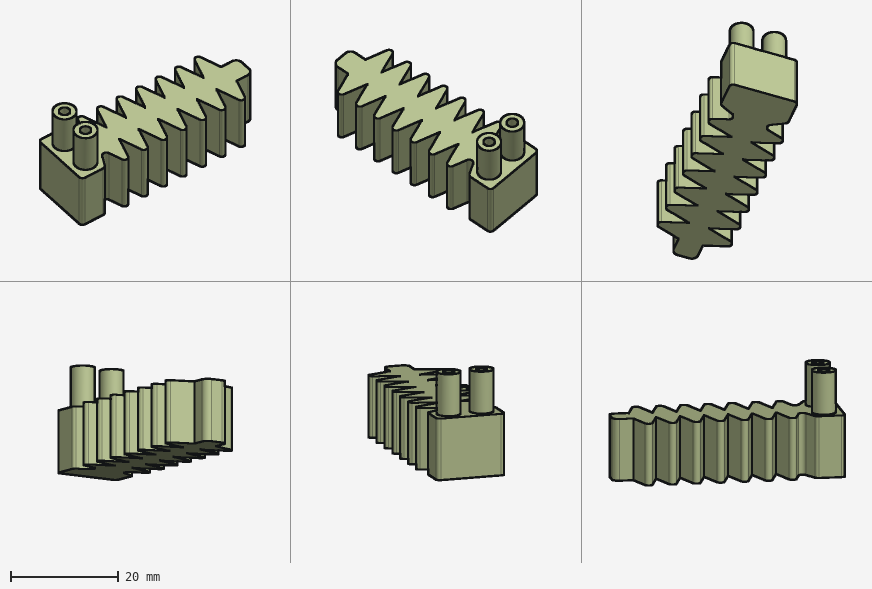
import math

import cadquery as cq

length = 43.2
total_height = 19.8

fin_count = 7
fin_pitch = 4.55
first_fin_y = 10.03
fin_half_span = 7.35
fin_tip_radius = 0.75
notch_half_width = 2.0

tail_half_width = 2.4
tail_corner_radius = 1.25

base_half_width = 6.7
base_side_length = 5.5
base_corner_radius = 0.78
neck_half_width = 3.4
neck_radius = 0.78

tube_diameter = 4.5
bore_diameter = 2.1
tube_spacing = 6.5
tube_y = 3.5
tube_height = 8.0

body_height = total_height - tube_height

notch_offset = fin_pitch / 2
tip_center_x = fin_half_span - fin_tip_radius
tip_distance = math.hypot(tip_center_x - notch_half_width, notch_offset)
flank_angle = math.atan2(notch_offset, tip_center_x - notch_half_width) - math.asin(
    fin_tip_radius / tip_distance
)
tip_tangent_x = tip_center_x + fin_tip_radius * math.sin(flank_angle)
tip_tangent_offset = fin_tip_radius * math.cos(flank_angle)


def flank_offset(x):
    """Half thickness of a fin, measured on its flanks at distance x from the center plane."""
    return notch_offset - (x - notch_half_width) * math.tan(flank_angle)


neck_center_x = neck_half_width + neck_radius
neck_center_y = first_fin_y - flank_offset(neck_center_x) - neck_radius / math.cos(flank_angle)
shoulder_run = base_half_width - neck_center_x
shoulder_rise = neck_center_y - base_side_length
shoulder_angle = math.atan2(shoulder_rise, shoulder_run) - math.asin(
    neck_radius / math.hypot(shoulder_run, shoulder_rise)
)


def half_profile():
    """Outline of the half of the body at positive X, closed along the center plane."""
    fin_centers = [first_fin_y + i * fin_pitch for i in range(fin_count)]
    outline = (
        cq.Workplane("XY")
        .lineTo(base_half_width, 0)
        .lineTo(base_half_width, base_side_length)
        .lineTo(
            neck_center_x - neck_radius * math.sin(shoulder_angle),
            neck_center_y - neck_radius * math.cos(shoulder_angle),
        )
        .threePointArc(
            (neck_half_width, neck_center_y),
            (
                neck_center_x - neck_radius * math.sin(flank_angle),
                neck_center_y + neck_radius * math.cos(flank_angle),
            ),
        )
    )
    for center in fin_centers:
        if center != first_fin_y:
            outline = outline.lineTo(notch_half_width, center - notch_offset)
        outline = outline.lineTo(tip_tangent_x, center - tip_tangent_offset).threePointArc(
            (fin_half_span, center), (tip_tangent_x, center + tip_tangent_offset)
        )
    return (
        outline.lineTo(tail_half_width, fin_centers[-1] + flank_offset(tail_half_width))
        .lineTo(tail_half_width, length)
        .lineTo(0, length)
        .close()
    )


def round_edge(body, x, y, radius):
    """Round the vertical edge that passes through (x, y)."""
    edge = cq.selectors.NearestToPointSelector((x, y, body_height / 2))
    return body.edges("|Z").edges(edge).fillet(radius)


def make_body():
    """Prism symmetric about X = 0: base block, neck, fins and tail."""
    half = half_profile().extrude(body_height)
    half = round_edge(half, base_half_width, 0, base_corner_radius)
    half = round_edge(half, base_half_width, base_side_length, base_corner_radius)
    half = round_edge(half, tail_half_width, length, tail_corner_radius)
    return half.union(half.mirror("YZ")).clean()


def make_tubes():
    """Two upright tubes on the base block, bored down to its top face."""
    centers = [(-tube_spacing / 2, tube_y), (tube_spacing / 2, tube_y)]
    return (
        cq.Workplane("XY")
        .workplane(offset=body_height)
        .pushPoints(centers)
        .circle(tube_diameter / 2)
        .circle(bore_diameter / 2)
        .extrude(tube_height)
    )


result = make_body().union(make_tubes())